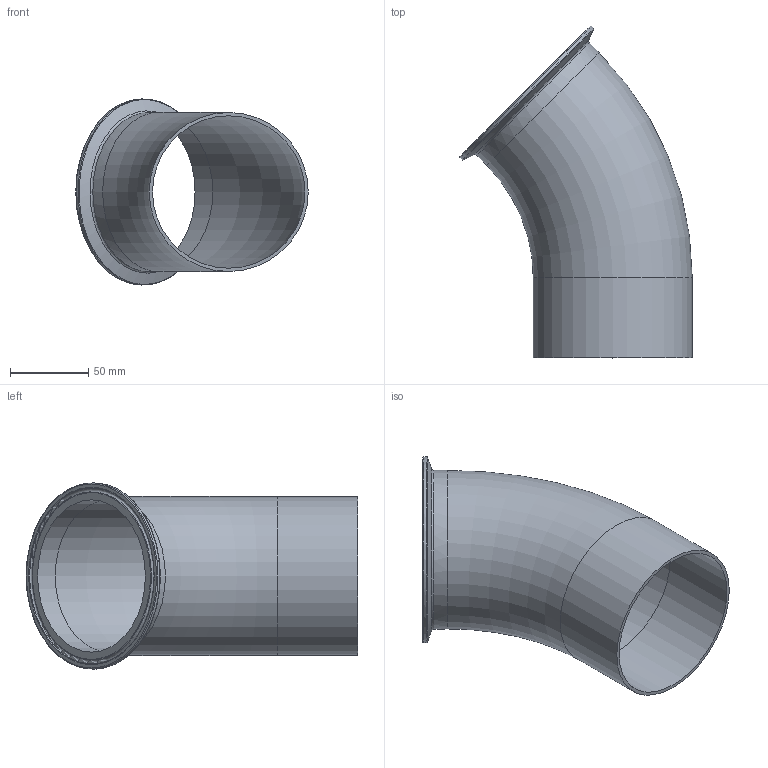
import cadquery as cq
import math

tube_od = 101.6
tube_id = 97.38
straight_length = 51.17
bend_radius = 152.4
bend_angle = 45.0

ferrule_length = 16.0
flange_od = 118.92
rim_thickness = 2.84
clamp_taper = 20.0
rim_fillet = 0.6
neck_fillet = 1.6

groove_radius = 55.0
groove_width = 2.6
groove_depth = 1.2
lip_fillet = 0.5

tube_r = tube_od / 2
bore_r = tube_id / 2
flange_r = flange_od / 2
full_turn = 360


def ring_section():
    """Tube wall section at the start of the bend, in a plane normal to Y."""
    plane = cq.Plane(origin=(0, straight_length, 0), xDir=(1, 0, 0), normal=(0, 1, 0))
    return cq.Workplane(plane).circle(tube_r).circle(bore_r)


def make_straight():
    return ring_section().extrude(-straight_length)


def make_bend():
    """Tube wall revolved about a Z-parallel axis one bend radius towards -X."""
    return ring_section().revolve(bend_angle, (-bend_radius, 0, 0), (-bend_radius, -1, 0))


def edges_at_radius(body, y, radius):
    """The circular edge of the given radius about Y, lying in the plane at height y."""
    margin = 0.05
    reach = radius + margin
    core = radius - margin
    outer = cq.selectors.BoxSelector(
        (-reach, y - margin, -reach), (reach, y + margin, reach), boundingbox=True)
    inner = cq.selectors.BoxSelector(
        (-core, y - margin, -core), (core, y + margin, core), boundingbox=True)
    return body.edges(outer - inner)


def make_ferrule():
    """Ferrule revolved about Y, tube end at y = 0 and flange face at y = ferrule_length."""
    rim_back = ferrule_length - rim_thickness
    flange_back = rim_back - (flange_r - tube_r) * math.tan(math.radians(clamp_taper))
    body = (
        cq.Workplane("XY")
        .moveTo(bore_r, 0)
        .lineTo(tube_r, 0)
        .lineTo(tube_r, flange_back)
        .lineTo(flange_r, rim_back)
        .lineTo(flange_r, ferrule_length)
        .lineTo(bore_r, ferrule_length)
        .close()
        .revolve(full_turn, (0, 0, 0), (0, 1, 0))
    )
    body = edges_at_radius(body, flange_back, tube_r).fillet(neck_fillet)
    for rim_edge in (rim_back, ferrule_length):
        body = edges_at_radius(body, rim_edge, flange_r).fillet(rim_fillet)

    groove_inner = groove_radius - groove_width / 2
    groove_outer = groove_radius + groove_width / 2
    groove = (
        cq.Workplane("XY")
        .moveTo(groove_inner, ferrule_length)
        .threePointArc((groove_radius, ferrule_length - groove_depth), (groove_outer, ferrule_length))
        .close()
        .revolve(full_turn, (0, 0, 0), (0, 1, 0))
    )
    body = body.cut(groove)
    for lip in (groove_inner, groove_outer):
        body = edges_at_radius(body, ferrule_length, lip).fillet(lip_fillet)
    return body


def place_on_bend_end(body):
    """Move a body built about Y from the bend start to the bend end."""
    bend_axis_start = (-bend_radius, straight_length, 0)
    bend_axis_end = (-bend_radius, straight_length, 1)
    return body.translate((0, straight_length, 0)).rotate(bend_axis_start, bend_axis_end, bend_angle)


result = make_straight().union(make_bend()).union(place_on_bend_end(make_ferrule()))